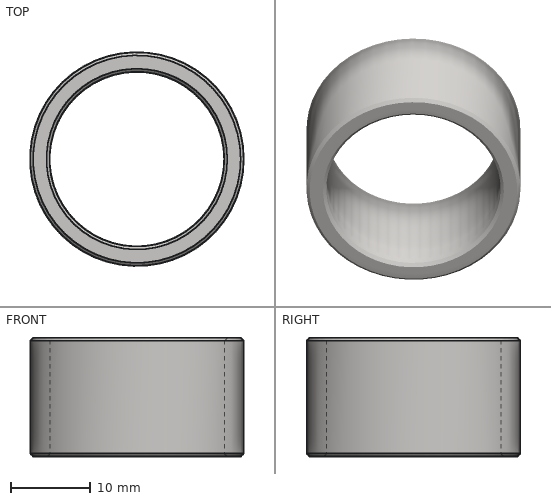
import cadquery as cq

outer_diameter = 27.0
bore_diameter = 22.0
length = 15.0
edge_chamfer = 0.4

sleeve = (
    cq.Workplane("XY")
    .circle(outer_diameter / 2)
    .circle(bore_diameter / 2)
    .extrude(length)
)

result = sleeve.faces("|Z").edges().chamfer(edge_chamfer)